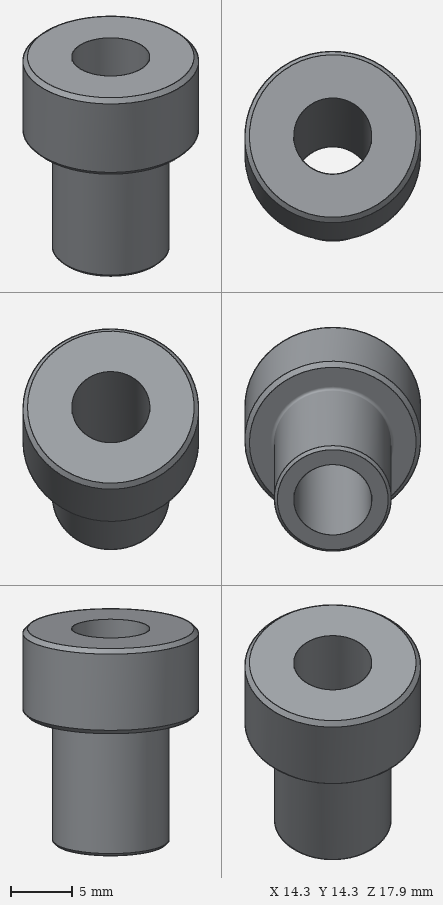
import cadquery as cq
import math

total_height = 17.93
head_diameter = 14.3
head_height = 7.14
shank_diameter = 9.52
bore_diameter = 6.35

head_chamfer = 0.38
neck_fillet = 0.25
tip_chamfer = 0.25

head_radius = head_diameter / 2
shank_radius = shank_diameter / 2
bore_radius = bore_diameter / 2
shank_height = total_height - head_height

arc_inset = neck_fillet * (1 - math.sqrt(0.5))
neck_arc_middle = (shank_radius + arc_inset, shank_height - arc_inset)

half_section = (
    cq.Workplane("XZ")
    .moveTo(bore_radius, 0)
    .lineTo(shank_radius - tip_chamfer, 0)
    .lineTo(shank_radius, tip_chamfer)
    .lineTo(shank_radius, shank_height - neck_fillet)
    .threePointArc(neck_arc_middle, (shank_radius + neck_fillet, shank_height))
    .lineTo(head_radius - head_chamfer, shank_height)
    .lineTo(head_radius, shank_height + head_chamfer)
    .lineTo(head_radius, total_height - head_chamfer)
    .lineTo(head_radius - head_chamfer, total_height)
    .lineTo(bore_radius, total_height)
    .close()
)

result = half_section.revolve(360, (0, 0), (0, 1))